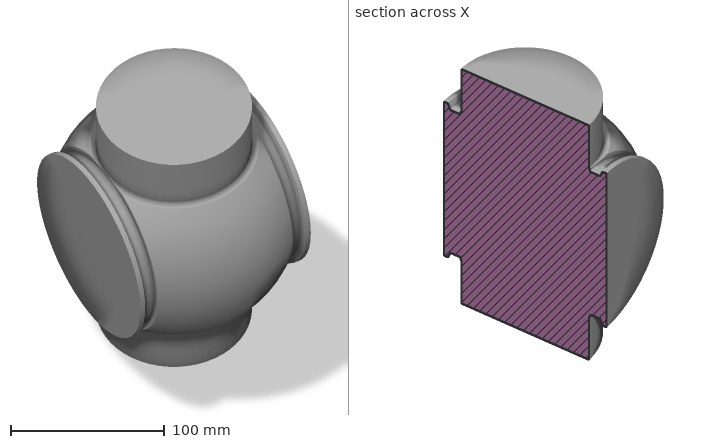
import cadquery as cq
import math

SPHERE_R = 82.55
BODY_HALF_Z = 61.3
BODY_HALF_Y = 51.3

PIPE_R = 50.8
PIPE_HALF_SPAN = 98.805
PIPE_FILLET_R = 1.8

FLANGE_R = 65.0
FLANGE_HALF_SPAN = 64.695
RIM_THICKNESS = 3.6
TAPER_LENGTH = 1.9
NECK_R = 60.4
NECK_FILLET_R = 0.6


def body():
    """Sphere cut flat at the top and bottom."""
    slab = cq.Workplane("XY").box(2 * SPHERE_R, 2 * SPHERE_R, 2 * BODY_HALF_Z)
    return cq.Workplane("XY").sphere(SPHERE_R).intersect(slab)


def blended_outline(plane, radius, base, fillet_radius):
    """Start a half profile (radius, height) on the axis with a concave fillet at its foot."""
    arc_offset = fillet_radius * (1 - math.sqrt(0.5))
    return (
        cq.Workplane(plane)
        .moveTo(0, base)
        .lineTo(radius + fillet_radius, base)
        .threePointArc(
            (radius + arc_offset, base + arc_offset),
            (radius, base + fillet_radius),
        )
    )


def turned(outline):
    """Close a half profile along its axis and revolve it into a solid."""
    return outline.close().revolve(360, (0, 0), (0, 1))


def pipe_stub():
    """Pipe stub on the upper flat of the body."""
    outline = (
        blended_outline("XZ", PIPE_R, BODY_HALF_Z, PIPE_FILLET_R)
        .lineTo(PIPE_R, PIPE_HALF_SPAN)
        .lineTo(0, PIPE_HALF_SPAN)
    )
    return turned(outline)


def flange():
    """Clamp flange on the +Y flat of the body."""
    rim_back = FLANGE_HALF_SPAN - RIM_THICKNESS
    outline = (
        blended_outline("XY", NECK_R, BODY_HALF_Y, NECK_FILLET_R)
        .lineTo(NECK_R, rim_back - TAPER_LENGTH)
        .lineTo(FLANGE_R, rim_back)
        .lineTo(FLANGE_R, FLANGE_HALF_SPAN)
        .lineTo(0, FLANGE_HALF_SPAN)
    )
    return turned(outline)


def add_pair(base, attachment, mirror_plane):
    """Join an attachment and its mirror image to the base."""
    return base.union(attachment).union(attachment.mirror(mirror_plane))


def cut_flange_flats(base):
    """Cut the body and the feet of the pipe fillets flat at both flange ends."""
    slab = cq.Workplane("XY").box(2 * SPHERE_R, 2 * BODY_HALF_Y, 2 * PIPE_HALF_SPAN)
    return base.intersect(slab)


result = add_pair(body(), pipe_stub(), "XY")
result = cut_flange_flats(result)
result = add_pair(result, flange(), "XZ")